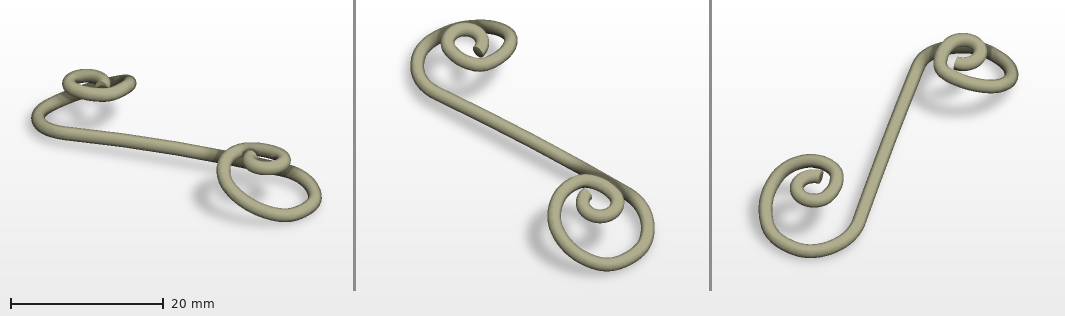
import cadquery as cq
import math

wire_diameter = 1.8
overall_length = 46.4

rail_angle = math.radians(22.5)
rail_half_run = 14.9
rail_height = 2.25
rail_sag = 0.5

scroll_x = -16.0
outer_x = wire_diameter / 2 - overall_length / 2
outer_radius = scroll_x - outer_x
outer_bottom_y = -6.3
outer_top_y = 6.4
low_bend_rise = 0.1
low_height = 0.9
coil_height = 6.15
turn_x = -11.45
turn_y = 1.1
coil_radius = 2.25
tip_angle = math.radians(15)

diagonal = math.sqrt(0.5)

climb_slope = (coil_height - low_height) / (turn_x - outer_x)
climb_top_height = low_height + climb_slope * outer_radius


def heading(angle, slope=0.0):
    """Direction with the given plan angle and rise per unit of plan run."""
    return cq.Vector(math.cos(angle), math.sin(angle), slope)


def curve(points, start_direction, end_direction):
    """Smooth curve through the points with fixed end directions."""
    vectors = [cq.Vector(*p) for p in points]
    return cq.Edge.makeSpline(vectors, tangents=[start_direction, end_direction])


def quarter_point(side_x, side_y, end_y, slope, axis_height):
    """Middle of the quarter ellipse between a side point and an end point on the scroll axis."""
    x = scroll_x + (side_x - scroll_x) * diagonal
    y = side_y + (end_y - side_y) * diagonal
    return (x, y, axis_height + slope * (x - scroll_x))


def sweep_wire(start, direction, edges):
    """Round wire along the edges, starting square to the given direction."""
    section = cq.Plane(origin=start, xDir=(0, 0, 1), normal=direction.toTuple())
    path = cq.Workplane(obj=cq.Wire.assembleEdges(edges))
    return cq.Workplane(section).circle(wire_diameter / 2).sweep(path)


end_run_x = rail_half_run * math.cos(rail_angle)
end_run_y = rail_half_run * math.sin(rail_angle)
rail_end_height = rail_height - rail_sag
rail_end = (-end_run_x, -end_run_y, rail_end_height)
rail_far_end = (end_run_x, end_run_y, rail_end_height)
rail_middle = (0, 0, rail_height)
bow_angle = 2 * math.atan(rail_sag / rail_half_run)
rail_end_direction = heading(rail_angle + math.pi, -math.tan(bow_angle))
rail_arc = cq.Edge.makeThreePointArc(
    cq.Vector(*rail_far_end), cq.Vector(*rail_middle), cq.Vector(*rail_end)
)
rail_start_direction = heading(rail_angle + math.pi, math.tan(bow_angle))
rail = sweep_wire(rail_far_end, rail_start_direction, [rail_arc])

low_bend = (
    scroll_x - outer_radius * diagonal,
    outer_bottom_y * diagonal,
    low_height + low_bend_rise,
)
far_end = (outer_x, 0, low_height)
climb_bend = quarter_point(outer_x, 0, outer_top_y, climb_slope, climb_top_height)
climb_top = (scroll_x, outer_top_y, climb_top_height)
climb_direction = cq.Vector(1, 0, climb_slope)
upper_bend = quarter_point(turn_x, turn_y, outer_top_y, climb_slope, climb_top_height)
turn = (turn_x, turn_y, coil_height)
coil_bend = quarter_point(turn_x, turn_y, -coil_radius, 0, coil_height)
coil_bottom = (scroll_x, -coil_radius, coil_height)
coil_side = (scroll_x - coil_radius, 0, coil_height)
tip = (
    scroll_x + coil_radius * math.cos(tip_angle),
    coil_radius * math.sin(tip_angle),
    coil_height,
)

forward = cq.Vector(0, 1, 0)
backward = cq.Vector(0, -1, 0)
left = cq.Vector(-1, 0, 0)

spiral = sweep_wire(rail_end, rail_end_direction, [
    curve([rail_end, low_bend, far_end], rail_end_direction, forward),
    curve([far_end, climb_bend, climb_top], forward, climb_direction),
    curve([climb_top, upper_bend, turn], climb_direction, backward),
    curve([turn, coil_bend, coil_bottom], backward, left),
    cq.Edge.makeThreePointArc(cq.Vector(*coil_bottom), cq.Vector(*coil_side), cq.Vector(*tip)),
])

result = rail.union(spiral).union(spiral.rotate((0, 0, 0), (0, 0, 1), 180))